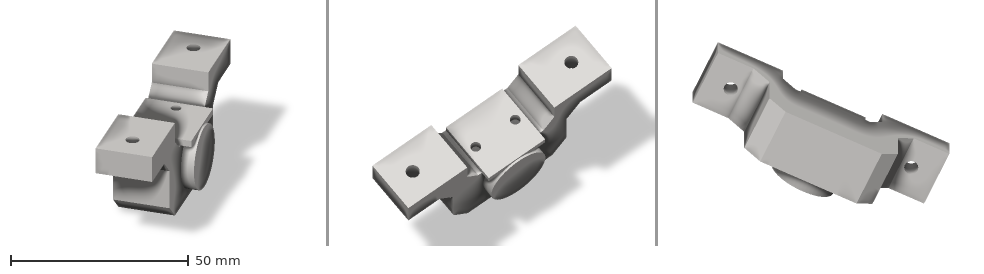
import cadquery as cq

span = 72.25
height = 30.0
body_depth = 16.75

body_half_width = 20.0
chamfer = 5.0
arm_thickness = 8.0
arm_underside = height - arm_thickness

recess_width = 30.9
recess_offset = 0.3
recess_floor = 20.0
recess_chamfer = 3.9

pad_size = 20.0
pad_top = arm_underside
pad_hole_diameter = 3.0
pad_hole_spacing = 14.0
pad_hole_depth = 3.0

boss_diameter = 19.2
boss_end = 20.65
boss_height = 11.7

arm_hole_diameter = 4.0
arm_hole_spacing = 56.35


def make_body():
    """Constant YZ outline extruded along X from the flat -X face."""
    half_span = span / 2
    recess_front = recess_offset - recess_width / 2
    recess_back = recess_offset + recess_width / 2
    outline = [
        (-body_half_width + chamfer, 0),
        (-body_half_width, chamfer),
        (-body_half_width, arm_underside - chamfer),
        (-body_half_width - chamfer, arm_underside),
        (-half_span, arm_underside),
        (-half_span, height),
        (recess_front, height),
        (recess_front, recess_floor + recess_chamfer),
        (recess_front + recess_chamfer, recess_floor),
        (recess_back - recess_chamfer, recess_floor),
        (recess_back, recess_floor + recess_chamfer),
        (recess_back, height),
        (half_span, height),
        (half_span, arm_underside),
        (body_half_width + chamfer, arm_underside),
        (body_half_width, arm_underside - chamfer),
        (body_half_width, chamfer),
        (body_half_width - chamfer, 0),
    ]
    return cq.Workplane("YZ").polyline(outline).close().extrude(body_depth)


def make_pad():
    """Square plate on the recess floor, overhanging the +X face."""
    return cq.Workplane("XY").box(
        pad_size, pad_size, pad_top - recess_floor, centered=(False, True, False)
    ).translate((0, 0, recess_floor))


def make_boss():
    """Round boss standing on the +X face."""
    return (
        cq.Workplane("YZ", origin=(body_depth, 0, boss_height))
        .circle(boss_diameter / 2)
        .extrude(boss_end - body_depth)
    )


def hole_pair(x, spacing, diameter, top, depth):
    """Two vertical drills, mirrored about Y = 0, reaching down from the given top."""
    return (
        cq.Workplane("XY", origin=(x, 0, top))
        .pushPoints([(0, -spacing / 2), (0, spacing / 2)])
        .circle(diameter / 2)
        .extrude(-depth)
    )


arm_holes = hole_pair(body_depth / 2, arm_hole_spacing, arm_hole_diameter, height, arm_thickness)
pad_holes = hole_pair(pad_size / 2, pad_hole_spacing, pad_hole_diameter, pad_top, pad_hole_depth)

result = make_body().union(make_pad()).union(make_boss()).cut(arm_holes).cut(pad_holes)